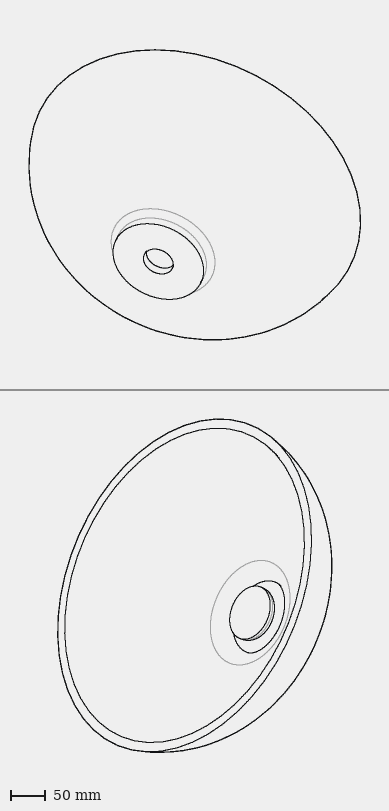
import cadquery as cq

TOTAL_DEPTH = 174.0
RIM_RADIUS = 248.5
WALL = 14.0
FLOOR_DEPTH = TOTAL_DEPTH - WALL

WALL_ARC_RADIUS = 185.5
NECK_RADIUS = 78.0
NECK_DEPTH = 151.5

FOOT_RADIUS = 68.0
FOOT_STRAIGHT = 13.5
NECK_FILLET = 10.0

DRAIN_RADIUS = 22.5

COVER_RADIUS = 40.0
COVER_EDGE = 10.0
COVER_GAP = 8.0
COVER_THICKNESS = 15.0


def turned_bowl(rim, neck, neck_depth, arc, fillet, foot, fillet_end_depth, end_depth):
    """Solid turned from a rim-to-foot outline; local X of the sketch is +Y, local Y is the radius."""
    outline = (
        cq.Workplane("YZ")
        .lineTo(0, rim)
        .radiusArc((-neck_depth, neck), -arc)
        .radiusArc((-fillet_end_depth, foot), fillet)
    )
    if end_depth > fillet_end_depth:
        outline = outline.lineTo(-end_depth, foot)
    return outline.lineTo(-end_depth, 0).close().revolve(360, (0, 0, 0), (1, 0, 0))


def make_basin():
    outside = turned_bowl(
        rim=RIM_RADIUS,
        neck=NECK_RADIUS,
        neck_depth=NECK_DEPTH,
        arc=WALL_ARC_RADIUS,
        fillet=NECK_FILLET,
        foot=FOOT_RADIUS,
        fillet_end_depth=TOTAL_DEPTH - FOOT_STRAIGHT,
        end_depth=TOTAL_DEPTH,
    )
    inside = turned_bowl(
        rim=RIM_RADIUS - WALL,
        neck=NECK_RADIUS,
        neck_depth=NECK_DEPTH - WALL,
        arc=WALL_ARC_RADIUS - WALL,
        fillet=NECK_FILLET + WALL,
        foot=FOOT_RADIUS - WALL,
        fillet_end_depth=FLOOR_DEPTH,
        end_depth=FLOOR_DEPTH,
    )
    drain_hole = cq.Workplane("XZ").circle(DRAIN_RADIUS).extrude(TOTAL_DEPTH)
    return outside.cut(inside).cut(drain_hole)


def make_cover():
    top_depth = FLOOR_DEPTH - COVER_GAP - COVER_THICKNESS
    disc = (
        cq.Workplane("XZ", origin=(0, -top_depth, 0))
        .circle(COVER_RADIUS)
        .extrude(COVER_THICKNESS)
    )
    return disc.faces("<Y").edges().fillet(COVER_EDGE)


basin = make_basin()
cover = make_cover()
result = cq.Compound.makeCompound([basin.val(), cover.val()])